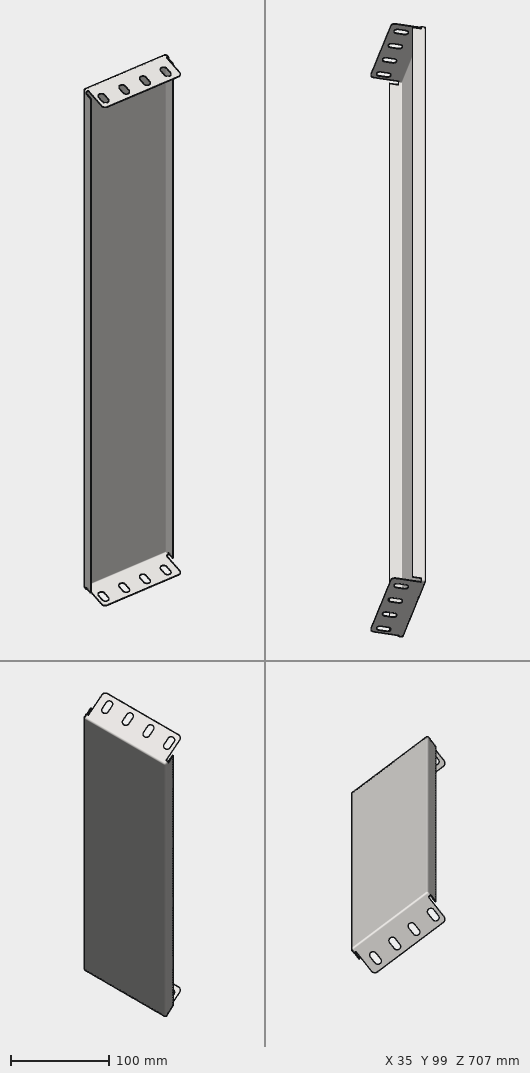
import cadquery as cq

depth = 35.0
width = 99.0
height = 707.0

sheet = 1.05
bend_radius = 2.0
side_flange = 14.0
corner_radius = 4.0

relief_start = 5.0
relief_y = 3.0
relief_z = 3.5

slot_length = 15.0
slot_width = 7.0
slot_pitch = 25.0
slot_count = 4
slot_x = 22.5
slot_row_y = -2.0


def block_from(x_start, size_y, size_z):
    """Block centred on Y and Z, running from x_start to the open side."""
    return (
        cq.Workplane("XY")
        .box(depth - x_start, size_y, size_z, centered=(False, True, True))
        .translate((x_start, 0, 0))
    )


outer = block_from(0, width, height).edges("|X or <X").fillet(bend_radius)
inner = block_from(sheet, width - 2 * sheet, height - 2 * sheet)
inner = inner.edges("|X or <X").fillet(bend_radius - sheet)
tray = outer.cut(inner)

end_flange_width = width - 2 * relief_y
side_flange_length = height - 2 * relief_z
corner_reliefs = (
    block_from(relief_start, width, height)
    .cut(block_from(relief_start, end_flange_width, height))
    .cut(block_from(relief_start, width, side_flange_length))
)

side_trim = block_from(side_flange, width, height).cut(
    block_from(side_flange, end_flange_width, height)
)
tray = tray.cut(corner_reliefs).cut(side_trim)
tray = tray.edges(">X and |Z").fillet(corner_radius)

slots = (
    cq.Workplane("XY")
    .center(slot_x, slot_row_y)
    .rarray(7, slot_pitch, 1, slot_count)
    .slot2D(slot_length, slot_width)
    .extrude(height / 2, both=True)
)

result = tray.cut(slots)